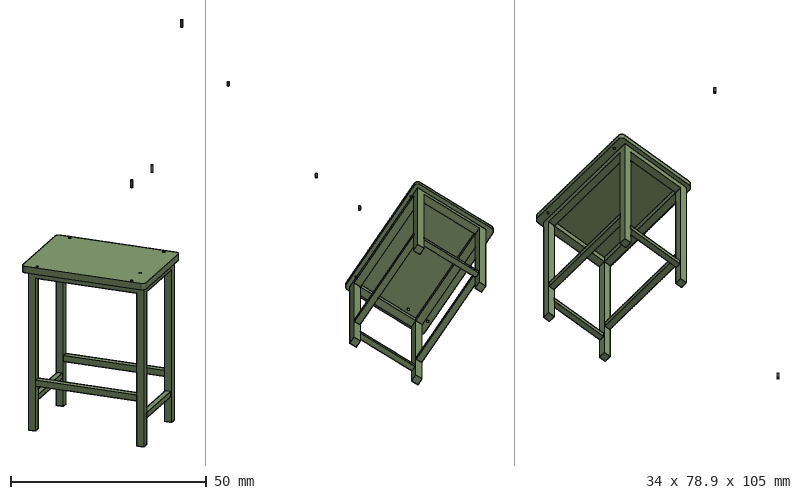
import cadquery as cq

TOTAL_HEIGHT = 105.0
TOTAL_DEPTH = 78.9

SEAT_WIDTH = 34.0
SEAT_DEPTH = 23.9
SEAT_THICKNESS = 1.8
SEAT_TOP = 45.7
SEAT_CORNER_RADIUS = 1.0

SIDE_OVERHANG = 1.0
FRONT_OVERHANG = 2.1
BACK_OVERHANG = 1.0
BAR = 2.0
LONG_STRETCHER = 1.7
SHORT_STRETCHER = 1.5
LONG_STRETCHER_TOP = 14.0
LEFT_STRETCHER_TOP = 9.1
RIGHT_STRETCHER_TOP = 8.5

PIN_DIAMETER = 0.6
PIN_LENGTH = 2.0
HOLE_OFFSET_X = 13.0
HOLE_EDGE_DISTANCE = 1.0
EXTRA_HOLE_Y = 6.9
MIDDLE_PIN_X = 1.6
MIDDLE_PIN_Y = 29.2
MIDDLE_PIN_TOP = 61.4
HIGH_PIN_Y = 35.0

frame_height = SEAT_TOP - SEAT_THICKNESS
frame_width = SEAT_WIDTH - 2 * SIDE_OVERHANG
frame_front = FRONT_OVERHANG
frame_back = SEAT_DEPTH - BACK_OVERHANG
frame_depth = frame_back - frame_front
leg_x = (frame_width - BAR) / 2
front_leg_y = frame_front + BAR / 2
back_leg_y = frame_back - BAR / 2
frame_middle_y = (frame_front + frame_back) / 2


def bar(size_x, size_y, height, x, y, top):
    """Rectangular bar centred on (x, y), with its upper face at height top."""
    return cq.Workplane("XY").box(size_x, size_y, height).translate((x, y, top - height / 2))


def make_seat():
    board = (
        bar(SEAT_WIDTH, SEAT_DEPTH, SEAT_THICKNESS, 0, SEAT_DEPTH / 2, SEAT_TOP)
        .edges("|Z")
        .fillet(SEAT_CORNER_RADIUS)
    )
    hole_points = [
        (x, y)
        for x in (-HOLE_OFFSET_X, HOLE_OFFSET_X)
        for y in (HOLE_EDGE_DISTANCE, SEAT_DEPTH - HOLE_EDGE_DISTANCE)
    ]
    hole_points.append((HOLE_OFFSET_X, EXTRA_HOLE_Y))
    holes = (
        cq.Workplane("XY", origin=(0, 0, frame_height))
        .pushPoints(hole_points)
        .circle(PIN_DIAMETER / 2)
        .extrude(SEAT_THICKNESS)
    )
    return board.cut(holes)


def make_frame():
    outer = bar(frame_width, frame_depth, BAR, 0, frame_middle_y, frame_height)
    opening = bar(
        frame_width - 2 * BAR, frame_depth - 2 * BAR, BAR, 0, frame_middle_y, frame_height
    )
    frame = outer.cut(opening)
    for x in (-leg_x, leg_x):
        for y in (front_leg_y, back_leg_y):
            frame = frame.union(bar(BAR, BAR, frame_height, x, y, frame_height))

    for y in (front_leg_y, back_leg_y):
        frame = frame.union(
            bar(2 * leg_x, LONG_STRETCHER, LONG_STRETCHER, 0, y, LONG_STRETCHER_TOP)
        )
    for x, top in ((-leg_x, LEFT_STRETCHER_TOP), (leg_x, RIGHT_STRETCHER_TOP)):
        frame = frame.union(
            bar(
                SHORT_STRETCHER,
                back_leg_y - front_leg_y,
                SHORT_STRETCHER,
                x,
                frame_middle_y,
                top,
            )
        )
    return frame


def make_pin(x, y, top):
    return (
        cq.Workplane("XY", origin=(x, y, top - PIN_LENGTH))
        .circle(PIN_DIAMETER / 2)
        .extrude(PIN_LENGTH)
    )


pin_places = [
    (-HOLE_OFFSET_X, TOTAL_DEPTH - PIN_DIAMETER / 2, SEAT_TOP),
    (MIDDLE_PIN_X, MIDDLE_PIN_Y, MIDDLE_PIN_TOP),
    (HOLE_OFFSET_X, HIGH_PIN_Y, TOTAL_HEIGHT),
]

seat = make_seat()
frame = make_frame()
pins = [make_pin(x, y, top) for x, y, top in pin_places]

result = cq.Compound.makeCompound([seat.val(), frame.val(), *[pin.val() for pin in pins]])